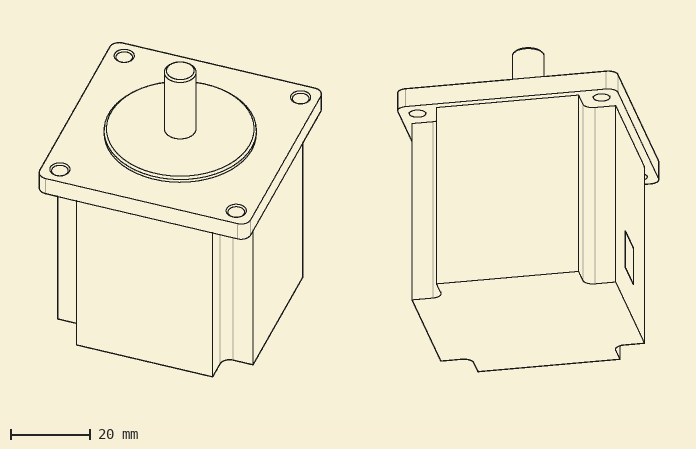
import cadquery as cq

total_height = 74.6
body_height = 49.1
flange_thickness = 5.0
pilot_height = 1.5
flange_top = body_height + flange_thickness
pilot_top = flange_top + pilot_height

body_side = 52.2
corner_step = 7.9
corner_radius = 2.5

flange_side = 56.4
hole_spacing = 47.15
hole_diameter = 4.2
hole_chamfer = 0.45
hole_chamfer_angle = 90

pilot_diameter = 38.3
pilot_chamfer = 0.6
shaft_diameter = 8.0
shaft_chamfer = 0.5

panel_side = 10.15
panel_center_y = 0.75
panel_center_z = 14.9
panel_depth = 0.1


def make_body():
    """Square column with a rounded inside step at each corner."""
    core_side = body_side - 2 * corner_step
    bar_x = cq.Workplane("XY").box(body_side, core_side, body_height, centered=(True, True, False))
    bar_y = cq.Workplane("XY").box(core_side, body_side, body_height, centered=(True, True, False))
    reach = core_side / 2 + corner_step / 2
    inside_corners = cq.selectors.BoxSelector((-reach, -reach, 0), (reach, reach, body_height))
    cross = bar_x.union(bar_y)
    return cross.edges("|Z").edges(inside_corners).fillet(corner_radius)


def make_flange():
    """Rounded square plate with four through holes chamfered at the top."""
    plate = (
        cq.Workplane("XY", origin=(0, 0, body_height))
        .rect(flange_side, flange_side)
        .extrude(flange_thickness)
        .edges("|Z")
        .fillet(corner_radius)
    )
    return (
        plate.faces(">Z")
        .workplane()
        .rect(hole_spacing, hole_spacing, forConstruction=True)
        .vertices()
        .cskHole(hole_diameter, hole_diameter + 2 * hole_chamfer, hole_chamfer_angle)
    )


def make_chamfered_disc(diameter, bottom, top, chamfer):
    """Cylinder on the Z axis with its top rim chamfered."""
    disc = cq.Workplane("XY", origin=(0, 0, bottom)).circle(diameter / 2).extrude(top - bottom)
    return disc.faces(">Z").chamfer(chamfer)


def make_panel_recess():
    """Cutter centred on the -X face, reaching the panel depth into the body."""
    return cq.Workplane("XY", origin=(-body_side / 2, panel_center_y, panel_center_z)).box(
        2 * panel_depth, panel_side, panel_side
    )


pilot = make_chamfered_disc(pilot_diameter, flange_top, pilot_top, pilot_chamfer)
shaft = make_chamfered_disc(shaft_diameter, pilot_top, total_height, shaft_chamfer)

result = make_body().cut(make_panel_recess()).union(make_flange()).union(pilot).union(shaft)